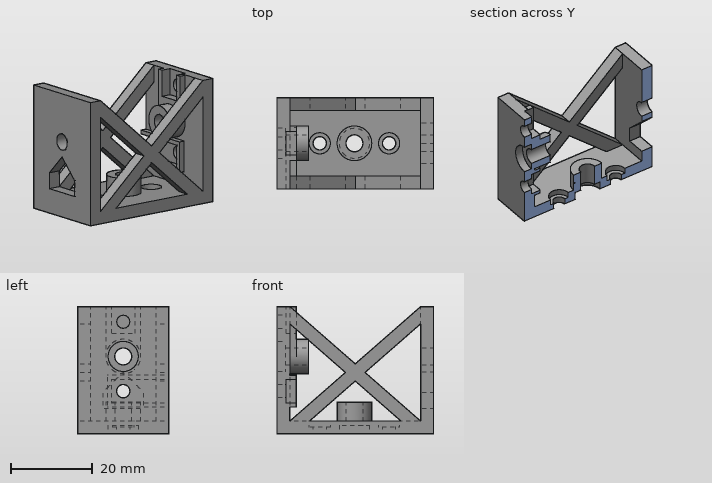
import cadquery as cq
import math

length = 38.4
depth = 22.4
height = 31.2
wall = 3.2
mid_y = depth / 2
inner_right = length - wall

boss_diameter = 8.5
boss_top = 7.8
shaft_diameter = 4.1
counterbore_diameter = 7.4
counterbore_depth = 2.1
screw_diameter = 3.2
screw_spacing = 8.5
screw_head_diameter = 5.2
screw_head_depth = 1.5
floor_boss_x = 19.0
side_boss_z = 19.0
upper_screw_z = side_boss_z + screw_spacing
lower_screw_z = side_boss_z - screw_spacing

pad_face_x = 4.75
slot_bottom_x = 2.2
slot_width = 5.8
upper_pad_width = boss_diameter
lower_pad_width = 7.8
back_rail_step = 0.1

window_width = 10.0
window_sill_z = 6.2
window_eaves_z = 10.2
window_slope = 45.0

brace_slope = (height - wall) / (inner_right - wall)
brace_drop = wall * math.hypot(1, brace_slope)


def box(x0, x1, y0, y1, z0, z1):
    return cq.Workplane("XY").box(x1 - x0, y1 - y0, z1 - z0, centered=False).translate((x0, y0, z0))


def side_rod(diameter, z, x0, x1):
    """Cylinder along X on the middle plane of the part."""
    return cq.Workplane("YZ", origin=(x0, mid_y, z)).circle(diameter / 2).extrude(x1 - x0)


def floor_rod(diameter, x, z0, z1):
    """Cylinder along Z on the middle plane of the part."""
    return cq.Workplane("XY", origin=(x, mid_y, z0)).circle(diameter / 2).extrude(z1 - z0)


def brace(start_x, end_x, front_y):
    """Bar falling from the wall top at start_x to the floor at end_x."""
    outline = [
        (start_x, height),
        (end_x, wall),
        (end_x, wall - brace_drop),
        (start_x, height - brace_drop),
    ]
    bar = cq.Workplane("XZ", origin=(0, front_y, 0)).polyline(outline).close().extrude(-wall)
    return bar.intersect(box(0, length, 0, depth, 0, height))


def frame():
    body = box(0, length, 0, depth, 0, wall)
    body = body.union(box(0, wall, 0, depth, 0, height))
    body = body.union(box(inner_right, length, 0, depth, 0, height))
    for front_y in (0, depth - wall):
        body = body.union(brace(wall, inner_right, front_y))
        body = body.union(brace(inner_right, wall, front_y))
    return body


def nut_pads():
    """Upper pad reaches the wall top, lower pad reaches the front face."""
    upper_half = upper_pad_width / 2
    lower_half = lower_pad_width / 2
    upper = box(wall, pad_face_x, mid_y - upper_half, mid_y + upper_half, side_boss_z, height)
    step = box(wall, pad_face_x, mid_y, mid_y + upper_half, height - back_rail_step, height)
    lower = box(wall, pad_face_x, 0, mid_y + lower_half,
                lower_screw_z - lower_half, lower_screw_z + lower_half)
    return upper.cut(step).union(lower)


def nut_slots():
    """Upper slot opens at the wall top, lower slot opens at the front face."""
    half = slot_width / 2
    upper = box(slot_bottom_x, pad_face_x, mid_y - half, mid_y + half, upper_screw_z - half, height)
    lower = box(slot_bottom_x, pad_face_x, 0, mid_y + half, lower_screw_z - half, lower_screw_z + half)
    return upper.union(lower)


def window():
    half = window_width / 2
    peak_z = window_eaves_z + half * math.tan(math.radians(window_slope))
    outline = [
        (mid_y - half, window_sill_z),
        (mid_y + half, window_sill_z),
        (mid_y + half, window_eaves_z),
        (mid_y, peak_z),
        (mid_y - half, window_eaves_z),
    ]
    return cq.Workplane("YZ", origin=(inner_right, 0, 0)).polyline(outline).close().extrude(wall)


def bosses():
    side = side_rod(boss_diameter, side_boss_z, wall, boss_top)
    floor = floor_rod(boss_diameter, floor_boss_x, wall, boss_top)
    return side.union(floor)


def side_holes():
    """The shaft hole runs on through the right wall."""
    holes = side_rod(shaft_diameter, side_boss_z, 0, length)
    holes = holes.union(side_rod(counterbore_diameter, side_boss_z, 0, counterbore_depth))
    for screw_z in (lower_screw_z, upper_screw_z):
        holes = holes.union(side_rod(screw_diameter, screw_z, 0, pad_face_x))
    return holes


def floor_holes():
    holes = floor_rod(shaft_diameter, floor_boss_x, 0, boss_top)
    holes = holes.union(floor_rod(counterbore_diameter, floor_boss_x, 0, counterbore_depth))
    for screw_x in (floor_boss_x - screw_spacing, floor_boss_x + screw_spacing):
        holes = holes.union(floor_rod(screw_diameter, screw_x, 0, wall))
        holes = holes.union(floor_rod(screw_head_diameter, screw_x, wall - screw_head_depth, wall))
    return holes


result = frame().union(nut_pads()).cut(nut_slots()).cut(window())
result = result.union(bosses()).cut(side_holes()).cut(floor_holes())